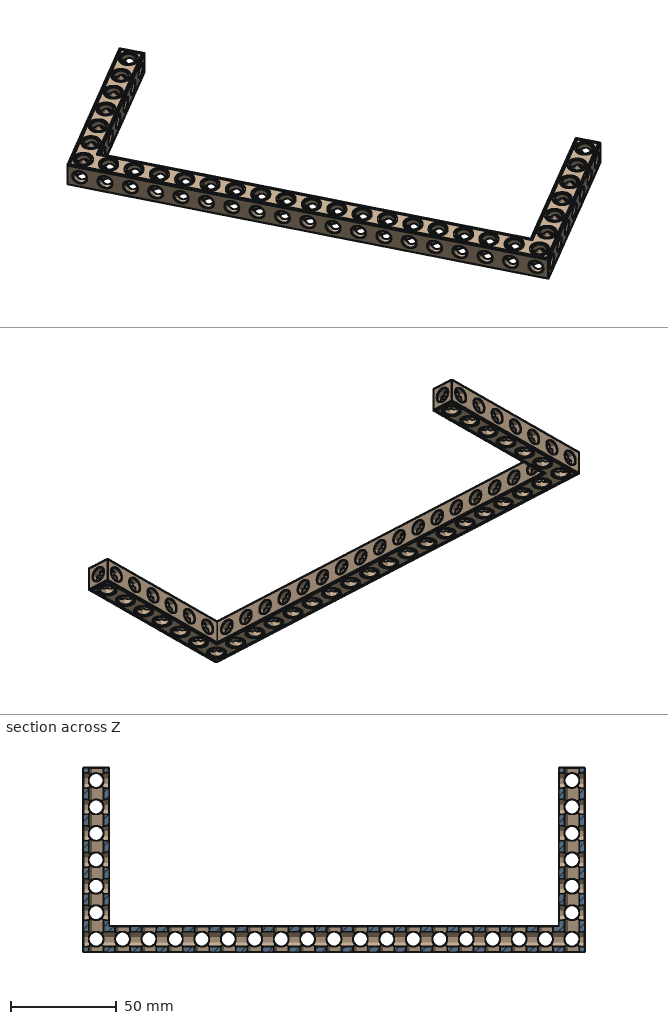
import cadquery as cq

holes_along_base = 19
holes_along_leg = 7
base_length = 237.5
hole_diameter = 7.0

rim_width = 1.2
rim_depth = 0.2
edge_step = 0.33

pitch = base_length / holes_along_base
leg_length = holes_along_leg * pitch
half_base = base_length / 2
half_leg = leg_length / 2
half_pitch = pitch / 2

base_y = half_pitch - half_leg
leg_x = half_base - half_pitch
leg_xs = [-leg_x, leg_x]
base_hole_xs = [i * pitch - leg_x for i in range(holes_along_base)]
leg_hole_ys = [i * pitch + base_y for i in range(holes_along_leg)]


def frame_layer(inset, height):
    """U-shaped layer centred on Z = 0, with its whole outline moved inwards by inset."""
    bar_width = pitch - 2 * inset
    base = cq.Workplane("XY").box(base_length - 2 * inset, bar_width, height).translate((0, base_y, 0))
    leg_centres = [(x, 0) for x in leg_xs]
    legs = cq.Workplane("XY").pushPoints(leg_centres).box(bar_width, leg_length - 2 * inset, height)
    return base.union(legs).clean()


def stepped_frame():
    """Stack of three layers: edges step in slightly near each face, then widely at the face."""
    core = frame_layer(0, pitch - 2 * edge_step)
    middle = frame_layer(edge_step, pitch - 2 * rim_depth)
    face = frame_layer(rim_width, pitch)
    return core.union(middle).union(face)


def corner_notches():
    """Square notches along the vertical edges of the base corners and the leg ends."""
    inner_x = half_base - pitch
    corners = [(side * half_base, end * half_leg) for side in (-1, 1) for end in (-1, 1)]
    corners += [(side * inner_x, half_leg) for side in (-1, 1)]
    return cq.Workplane("XY").pushPoints(corners).box(2 * edge_step, 2 * edge_step, pitch)


def stepped_hole(length, mouths):
    """Hole along Z, centred on the origin, with a counterbore (widening, depth) list for both ends."""
    radius = hole_diameter / 2
    cutter = cq.Workplane("XY").circle(radius).extrude(length / 2, both=True)
    for widening, depth in mouths:
        for start in (-length / 2, length / 2 - depth):
            mouth = cq.Workplane("XY").workplane(offset=start).circle(radius + widening).extrude(depth)
            cutter = cutter.union(mouth)
    return cutter


def placed_copies(cutter, centres):
    """Copies of a cutter moved to the given centres."""
    solid = cutter.val()
    return cq.Workplane("XY").pushPoints(centres).eachpoint(lambda place: solid.moved(place))


side_mouth = [(edge_step, edge_step)]
face_mouths = [(rim_width, rim_depth), (edge_step, edge_step)]
short_side_hole = stepped_hole(pitch, side_mouth)
short_hole_along_x = short_side_hole.rotate((0, 0, 0), (0, 1, 0), 90)
short_hole_along_y = short_side_hole.rotate((0, 0, 0), (1, 0, 0), 90)
base_bore = stepped_hole(base_length, side_mouth).rotate((0, 0, 0), (0, 1, 0), 90)
leg_bore = stepped_hole(leg_length, side_mouth).rotate((0, 0, 0), (1, 0, 0), 90)

base_hole_centres = [(x, base_y) for x in base_hole_xs]
leg_hole_centres = [(x, y) for x in leg_xs for y in leg_hole_ys[1:]]

result = stepped_frame().cut(corner_notches())

result = result.cut(placed_copies(stepped_hole(pitch, face_mouths), base_hole_centres + leg_hole_centres))

result = result.cut(placed_copies(short_hole_along_y, base_hole_centres[1:-1]))
result = result.cut(placed_copies(short_hole_along_x, leg_hole_centres))

result = result.cut(placed_copies(base_bore, [(0, base_y)]))
result = result.cut(placed_copies(leg_bore, [(x, 0) for x in leg_xs]))